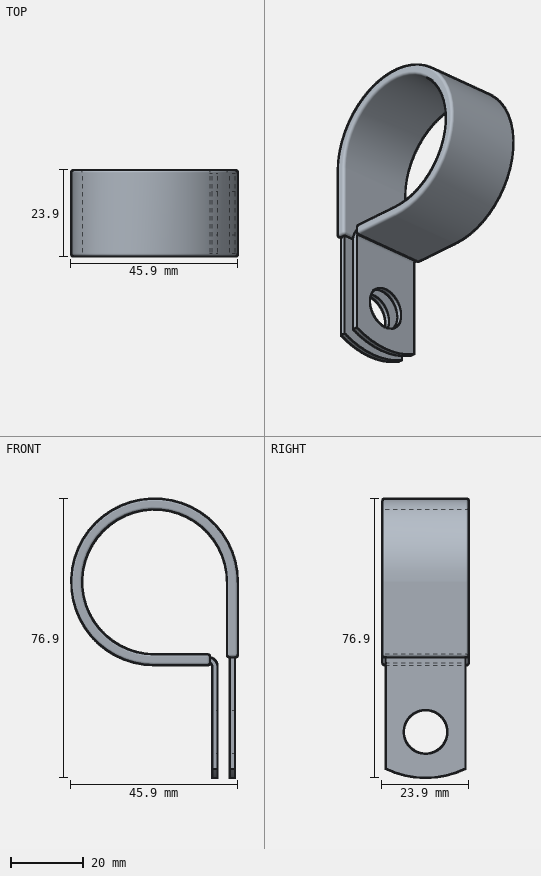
import cadquery as cq
import math

outer_diameter = 45.9
cushion_thickness = 3.1
cushion_width = 23.85
cushion_rounding = 0.8
flat_end_x = 15.3
drop_end_z = -20.8

strip_thickness = 1.5
strip_width = 22.0
bend_outer_radius = 2.7
bent_leg_outer_x = 17.4
overall_height = 76.9
hole_diameter = 11.9
hole_above_tip = 12.7
tip_radius = 25.0

outer_radius = outer_diameter / 2
middle_radius = outer_radius - cushion_thickness / 2
tip_z = outer_radius - overall_height
tip_rise = tip_radius - math.sqrt(tip_radius**2 - (strip_width / 2) ** 2)


def band(thickness, width, flat_x, drop_z):
    """Three-quarter ring with a flat along +X at the bottom and a flat down the +X side."""
    inner = middle_radius - thickness / 2
    outer = middle_radius + thickness / 2
    diagonal = math.sqrt(0.5)
    return (
        cq.Workplane("XZ")
        .moveTo(flat_x, -outer)
        .lineTo(0, -outer)
        .threePointArc((-outer * diagonal, outer * diagonal), (outer, 0))
        .lineTo(outer, drop_z)
        .lineTo(inner, drop_z)
        .lineTo(inner, 0)
        .threePointArc((-inner * diagonal, inner * diagonal), (0, -inner))
        .lineTo(flat_x, -inner)
        .close()
        .extrude(width / 2, both=True)
    )


def bent_leg():
    """Quarter bend from the horizontal flat into the leg below it."""
    bend_x = bent_leg_outer_x - bend_outer_radius
    top_z = strip_thickness / 2 - middle_radius
    bend_z = top_z - bend_outer_radius
    bend_inner_radius = bend_outer_radius - strip_thickness
    return (
        cq.Workplane("XZ")
        .moveTo(bend_x, top_z)
        .radiusArc((bent_leg_outer_x, bend_z), bend_outer_radius)
        .lineTo(bent_leg_outer_x, tip_z)
        .lineTo(bent_leg_outer_x - strip_thickness, tip_z)
        .lineTo(bent_leg_outer_x - strip_thickness, bend_z)
        .radiusArc((bend_x, bend_z + bend_inner_radius), -bend_inner_radius)
        .close()
        .extrude(strip_width / 2, both=True)
    )


def leg_profile():
    """Block with the legs' rounded tip and bolt hole, covering the whole loop above."""
    half_width = strip_width / 2
    return (
        cq.Workplane("YZ")
        .moveTo(-half_width, outer_radius)
        .lineTo(-half_width, tip_z + tip_rise)
        .threePointArc((0, tip_z), (half_width, tip_z + tip_rise))
        .lineTo(half_width, outer_radius)
        .close()
        .moveTo(0, tip_z + hole_above_tip)
        .circle(hole_diameter / 2)
        .extrude(outer_radius, both=True)
    )


cushion = band(cushion_thickness, cushion_width, flat_end_x, drop_end_z)
rounded_edges = cushion.faces("<Y or >Y").edges()
for radius in (outer_radius, outer_radius - cushion_thickness):
    for end_point in ((flat_end_x, 0, -radius), (radius, 0, drop_end_z)):
        rounded_edges = rounded_edges.add(cushion.edges(cq.selectors.NearestToPointSelector(end_point)))
cushion = cushion.newObject(rounded_edges.vals()).fillet(cushion_rounding)

bend_start_x = bent_leg_outer_x - bend_outer_radius
strip = band(strip_thickness, strip_width, bend_start_x, tip_z).union(bent_leg())
result = cushion.union(strip.intersect(leg_profile()))